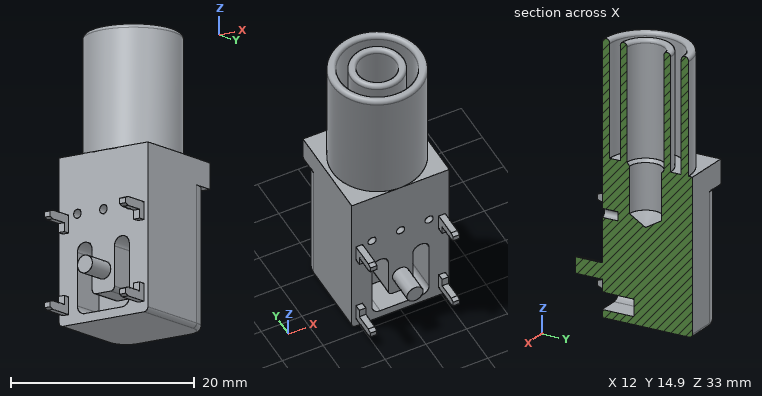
import cadquery as cq

BODY_WIDTH = 12.0
BODY_DEPTH = 11.5
BODY_HEIGHT = 19.0
TOTAL_HEIGHT = 33.0
REAR_CORNER_RADIUS = 2.5
REAR_LEDGE_Z = 16.0
BOTTOM_EDGE_RADIUS = 0.5

OUTER_SLEEVE_DIAMETER = 11.0
OUTER_SLEEVE_BORE = 9.0
INNER_SLEEVE_DIAMETER = 6.4
INNER_SLEEVE_BORE = 4.6
CONTACT_BORE = 4.0
CONTACT_DEPTH = 20.0
CONTACT_CONE_HEIGHT = 1.2
CONTACT_MOUTH_HEIGHT = 0.4

FRONT_Y = -OUTER_SLEEVE_DIAMETER / 2
REAR_Y = FRONT_Y + BODY_DEPTH

FRONT_HOLE_DIAMETER = 1.0
FRONT_HOLE_DEPTH = 2.0
FRONT_HOLE_SPACING = 3.5
FRONT_HOLE_Z = 12.35

POCKET_WIDTH = 7.0
POCKET_BOTTOM_Z = 1.0
POCKET_TOP_Z = 9.0
POCKET_LEG_WIDTH = 2.0
POCKET_OUTER_RADIUS = 1.0
POCKET_INNER_RADIUS = 0.5
POCKET_DEPTH = 4.0

PIN_LENGTH = 3.4
PEG_DIAMETER = 2.0
PEG_Z = 5.5
PIN_PITCH = 10.16
PIN_THICKNESS = 0.8
PIN_HEIGHT = 1.0
LOWER_PIN_Z = 1.7
PIN_FOOT_HEIGHT = 2.0
PIN_FOOT_LENGTH = 0.8
PIN_TIP_LENGTH = 0.5
PIN_TIP_INSET = 0.2


def front_plane():
    """Sketch plane on the front face, X right and Z up, normal toward -Y."""
    return cq.Workplane("XZ", origin=(0, FRONT_Y, 0))


def make_body():
    """Block with its rear corners rounded below the ledge and its lower edges rounded."""
    block_center_y = (FRONT_Y + REAR_Y) / 2
    lower = (
        cq.Workplane("XY")
        .center(0, block_center_y)
        .rect(BODY_WIDTH, BODY_DEPTH)
        .extrude(REAR_LEDGE_Z)
        .edges("|Z and >Y")
        .fillet(REAR_CORNER_RADIUS)
    )
    lower = lower.edges("<Z").edges("not <Y").fillet(BOTTOM_EDGE_RADIUS)
    upper = (
        cq.Workplane("XY", origin=(0, block_center_y, REAR_LEDGE_Z))
        .rect(BODY_WIDTH, BODY_DEPTH)
        .extrude(BODY_HEIGHT - REAR_LEDGE_Z)
    )
    return lower.union(upper)


def make_sleeve(outer_diameter, bore_diameter):
    """Sleeve on top of the body whose rim is a full half round."""
    inner_radius = bore_diameter / 2
    outer_radius = outer_diameter / 2
    rim_radius = (outer_radius - inner_radius) / 2
    rim_start_z = TOTAL_HEIGHT - rim_radius
    return (
        cq.Workplane("XZ")
        .moveTo(inner_radius, BODY_HEIGHT)
        .lineTo(outer_radius, BODY_HEIGHT)
        .lineTo(outer_radius, rim_start_z)
        .threePointArc((inner_radius + rim_radius, TOTAL_HEIGHT), (inner_radius, rim_start_z))
        .close()
        .revolve(360, (0, 0, 0), (0, 1, 0))
    )


def make_contact_bore():
    """Blind bore below the inner sleeve: tapered mouth, straight wall and conical bottom."""
    floor_z = TOTAL_HEIGHT - CONTACT_DEPTH
    bore_radius = CONTACT_BORE / 2
    bore = (
        cq.Workplane("XZ")
        .moveTo(0, BODY_HEIGHT)
        .lineTo(INNER_SLEEVE_BORE / 2, BODY_HEIGHT)
        .lineTo(bore_radius, BODY_HEIGHT - CONTACT_MOUTH_HEIGHT)
        .lineTo(bore_radius, floor_z)
        .lineTo(0, floor_z - CONTACT_CONE_HEIGHT)
        .close()
    )
    return bore.revolve(360, (0, 0, 0), (0, 1, 0))


def make_front_holes():
    """Row of three blind holes centred on X."""
    places = [(i * FRONT_HOLE_SPACING, FRONT_HOLE_Z) for i in (-1, 0, 1)]
    return front_plane().pushPoints(places).circle(FRONT_HOLE_DIAMETER / 2).extrude(-FRONT_HOLE_DEPTH)


def pocket_block(width, bottom_z, top_z):
    """Block of pocket depth going into the body from the front face, centred on X."""
    return (
        front_plane()
        .center(0, (bottom_z + top_z) / 2)
        .rect(width, top_z - bottom_z)
        .extrude(-POCKET_DEPTH)
    )


def make_pocket():
    """U-shaped pocket: a rounded base and two legs with half-round ends around an island."""
    leg_radius = POCKET_LEG_WIDTH / 2
    leg_x = (POCKET_WIDTH - POCKET_LEG_WIDTH) / 2
    leg_end_z = POCKET_TOP_Z - leg_radius
    island_width = POCKET_WIDTH - 2 * POCKET_LEG_WIDTH
    island_bottom_z = POCKET_BOTTOM_Z + POCKET_LEG_WIDTH

    outline = pocket_block(POCKET_WIDTH, POCKET_BOTTOM_Z, leg_end_z)
    outline = outline.edges("|Y and <Z").fillet(POCKET_OUTER_RADIUS)
    island = pocket_block(island_width, island_bottom_z, POCKET_TOP_Z)
    island = island.edges("|Y and <Z").fillet(POCKET_INNER_RADIUS)
    leg_ends = (
        front_plane()
        .pushPoints([(-leg_x, leg_end_z), (leg_x, leg_end_z)])
        .circle(leg_radius)
        .extrude(-POCKET_DEPTH)
    )
    return outline.cut(island).union(leg_ends)


def make_peg():
    """Round locating peg between the pocket legs."""
    return front_plane().center(0, PEG_Z).circle(PEG_DIAMETER / 2).extrude(PIN_LENGTH)


def make_pin(center_x, center_z, foot_side):
    """Solder pin with a tapered tip; foot_side is +1 or -1 for a foot reaching up or down."""
    half = PIN_HEIGHT / 2
    tip_half = half - PIN_TIP_INSET
    foot_end = PIN_FOOT_HEIGHT - half
    tip_y = FRONT_Y - PIN_LENGTH
    taper_y = tip_y + PIN_TIP_LENGTH
    foot_y = FRONT_Y - PIN_FOOT_LENGTH
    profile = [
        (FRONT_Y, -half),
        (taper_y, -half),
        (tip_y, -tip_half),
        (tip_y, tip_half),
        (taper_y, half),
        (foot_y, half),
        (foot_y, foot_end),
        (FRONT_Y, foot_end),
    ]
    points = [(y, center_z + foot_side * z) for y, z in profile]
    return (
        cq.Workplane("YZ", origin=(center_x, 0, 0))
        .polyline(points)
        .close()
        .extrude(PIN_THICKNESS / 2, both=True)
    )


result = make_body()
result = result.union(make_sleeve(OUTER_SLEEVE_DIAMETER, OUTER_SLEEVE_BORE))
result = result.union(make_sleeve(INNER_SLEEVE_DIAMETER, INNER_SLEEVE_BORE))
result = result.cut(make_contact_bore())
result = result.cut(make_front_holes())
result = result.cut(make_pocket())
result = result.union(make_peg())
for pin_x in (-PIN_PITCH / 2, PIN_PITCH / 2):
    result = result.union(make_pin(pin_x, LOWER_PIN_Z, 1))
    result = result.union(make_pin(pin_x, LOWER_PIN_Z + PIN_PITCH, -1))